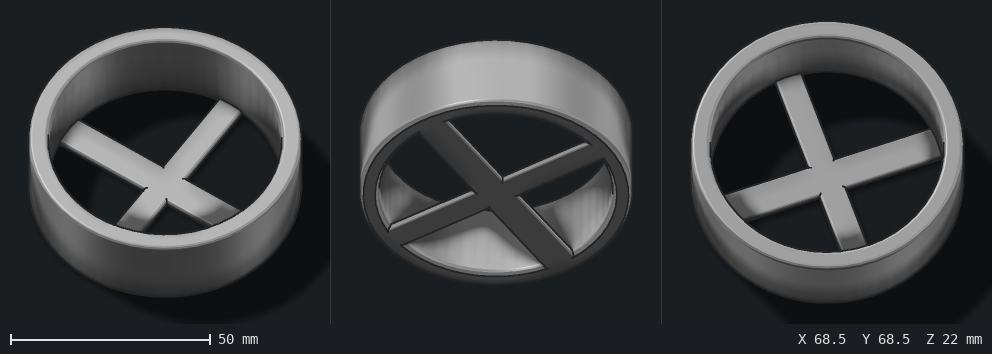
import cadquery as cq

outer_diameter = 68.5
inner_diameter = 58.5
height = 22.0
edge_size = 1.0

bar_x_width = 8.5
bar_y_width = 7.0
bar_thickness = 2.0
bar_edge_radius = 0.7


def make_ring():
    """Ring with a rounded top rim and bottom edges that are chamfered, then blended into the walls."""
    ring = cq.Workplane("XY").circle(outer_diameter / 2).circle(inner_diameter / 2).extrude(height)
    ring = ring.faces(">Z").edges().fillet(edge_size)
    ring = ring.faces("<Z").edges().chamfer(edge_size)
    return ring.edges("%CIRCLE").edges(">>Z[1]").fillet(edge_size)


def make_cross():
    """Crossed bars with rounded long edges, trimmed to the middle of the ring wall."""
    bar_x = cq.Workplane("XY").rect(outer_diameter, bar_x_width).extrude(bar_thickness)
    bar_y = cq.Workplane("XY").rect(bar_y_width, outer_diameter).extrude(bar_thickness)
    bar_x = bar_x.edges("|X").fillet(bar_edge_radius)
    bar_y = bar_y.edges("|Y").fillet(bar_edge_radius)
    trim_diameter = (outer_diameter + inner_diameter) / 2
    trim = cq.Workplane("XY").circle(trim_diameter / 2).extrude(bar_thickness)
    return bar_x.union(bar_y).intersect(trim)


result = make_ring().union(make_cross())